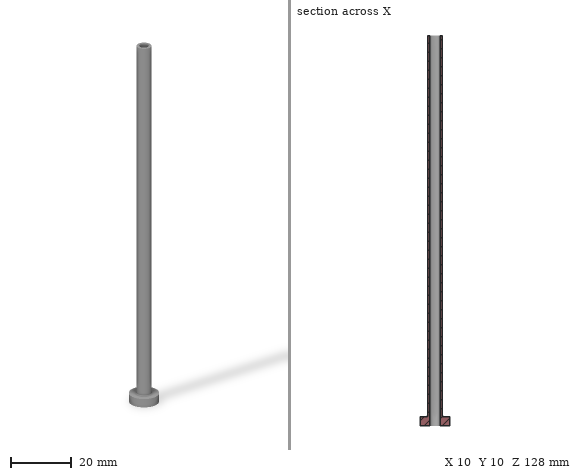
import cadquery as cq

head_diameter = 10.0
head_thickness = 3.0
shank_diameter = 5.0
shank_length = 125.0
bore_diameter = 3.2
neck_fillet_radius = 0.3

total_length = head_thickness + shank_length


def sleeve_body():
    """Round head at the bottom with the slender shank standing on it."""
    head = cq.Workplane("XY").circle(head_diameter / 2).extrude(head_thickness)
    return head.faces(">Z").workplane().circle(shank_diameter / 2).extrude(shank_length)


def fillet_neck(body):
    """Round the inside corner where the shank meets the head."""
    neck_reach = (shank_diameter + head_diameter) / 4
    neck_edge = cq.selectors.BoxSelector(
        (-neck_reach, -neck_reach, head_thickness / 2),
        (neck_reach, neck_reach, head_thickness * 1.5),
        boundingbox=True,
    )
    return body.edges(neck_edge).fillet(neck_fillet_radius)


def through_bore():
    """Straight axial bore running the full length of the sleeve."""
    return cq.Workplane("XY").circle(bore_diameter / 2).extrude(total_length)


result = fillet_neck(sleeve_body()).cut(through_bore())